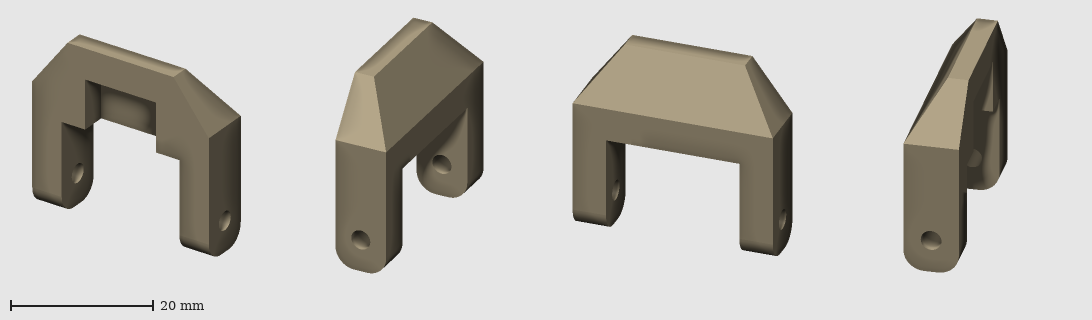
import cadquery as cq

width = 30.0
depth = 8.0
height = 28.0

shoulder_height = 20.0
top_width = 18.0
top_depth = 3.0

leg_width = 5.0
opening_height = 15.0

recess_width = 12.0
recess_height = 8.0
recess_depth = depth / 2

foot_radius = 3.0
hole_diameter = 3.0
hole_height = 5.0



def front_outline():
    """Full-depth body with both top corners cut at a slant."""
    return (
        cq.Workplane("XZ")
        .moveTo(-width / 2, 0)
        .lineTo(width / 2, 0)
        .lineTo(width / 2, shoulder_height)
        .lineTo(top_width / 2, height)
        .lineTo(-top_width / 2, height)
        .lineTo(-width / 2, shoulder_height)
        .close()
        .extrude(-depth)
    )


def side_outline():
    """Full-width body with rounded feet and a sloping back."""
    return (
        cq.Workplane("YZ")
        .moveTo(foot_radius, 0)
        .lineTo(depth - foot_radius, 0)
        .tangentArcPoint((depth, foot_radius), relative=False)
        .lineTo(depth, shoulder_height)
        .lineTo(top_depth, height)
        .lineTo(0, height)
        .lineTo(0, foot_radius)
        .tangentArcPoint((foot_radius, 0), relative=False)
        .close()
        .extrude(width / 2, both=True)
    )


def centred_cut(cut_width, cut_depth, bottom, cut_height):
    """Block centred on X that starts at the front face."""
    return (
        cq.Workplane("XY")
        .box(cut_width, cut_depth, cut_height, centered=(True, False, False))
        .translate((0, 0, bottom))
    )


opening = centred_cut(width - 2 * leg_width, depth, 0, opening_height)
recess = centred_cut(recess_width, recess_depth, opening_height, recess_height)

pin_hole = (
    cq.Workplane("YZ")
    .center(depth / 2, hole_height)
    .circle(hole_diameter / 2)
    .extrude(width / 2, both=True)
)

result = front_outline().intersect(side_outline()).cut(opening).cut(recess).cut(pin_hole)